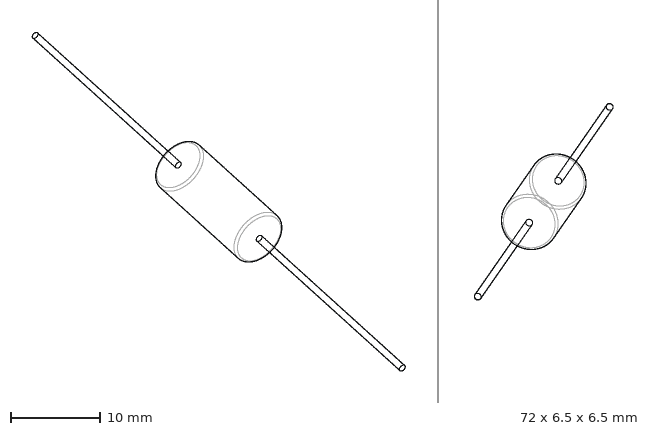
import cadquery as cq

overall_length = 72.0
body_length = 15.85
body_diameter = 6.5
lead_diameter = 0.8
edge_radius = 0.3


def centred_rod(diameter, length):
    """Round rod along X, centred on the origin."""
    return cq.Workplane("YZ", origin=(-length / 2, 0, 0)).circle(diameter / 2).extrude(length)


body = centred_rod(body_diameter, body_length).faces("<X or >X").edges().fillet(edge_radius)

leads = centred_rod(lead_diameter, overall_length)

result = body.union(leads)